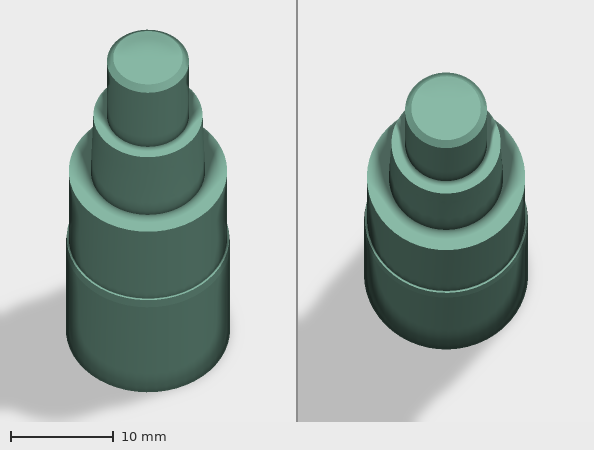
import cadquery as cq

TOTAL_HEIGHT = 41.25
BASE_HEIGHT = 13.9
BODY_TOP = 24.05
TAPER_TOP = 32.5

BASE_RADIUS = 8.0
BASE_BEVEL_HEIGHT = 1.0
BASE_BEVEL_WIDTH = 0.1

BODY_RADIUS = 7.7
TAPER_BOTTOM_RADIUS = 5.55
TAPER_TOP_RADIUS = 5.32
TIP_RADIUS = BASE_RADIUS / 2
TIP_BEVEL_HEIGHT = 0.55
TIP_BEVEL_WIDTH = 0.6


def make_base():
    """Plain cylinder with a shallow bevel at its upper rim."""
    profile = [
        (0, 0),
        (BASE_RADIUS, 0),
        (BASE_RADIUS, BASE_HEIGHT - BASE_BEVEL_HEIGHT),
        (BASE_RADIUS - BASE_BEVEL_WIDTH, BASE_HEIGHT),
        (0, BASE_HEIGHT),
    ]
    return revolve_about_z(profile)


def make_shaft():
    """Cylindrical body, tapered neck and bevelled tip, standing on the base."""
    profile = [
        (0, BASE_HEIGHT),
        (BODY_RADIUS, BASE_HEIGHT),
        (BODY_RADIUS, BODY_TOP),
        (TAPER_BOTTOM_RADIUS, BODY_TOP),
        (TAPER_TOP_RADIUS, TAPER_TOP),
        (TIP_RADIUS, TAPER_TOP),
        (TIP_RADIUS, TOTAL_HEIGHT - TIP_BEVEL_HEIGHT),
        (TIP_RADIUS - TIP_BEVEL_WIDTH, TOTAL_HEIGHT),
        (0, TOTAL_HEIGHT),
    ]
    return revolve_about_z(profile)


def revolve_about_z(profile):
    """Turn a closed (radius, height) outline once around the Z axis."""
    return cq.Workplane("XZ").polyline(profile).close().revolve(360, (0, 0, 0), (0, 1, 0))


base = make_base()
shaft = make_shaft()

result = cq.Compound.makeCompound([base.val(), shaft.val()])